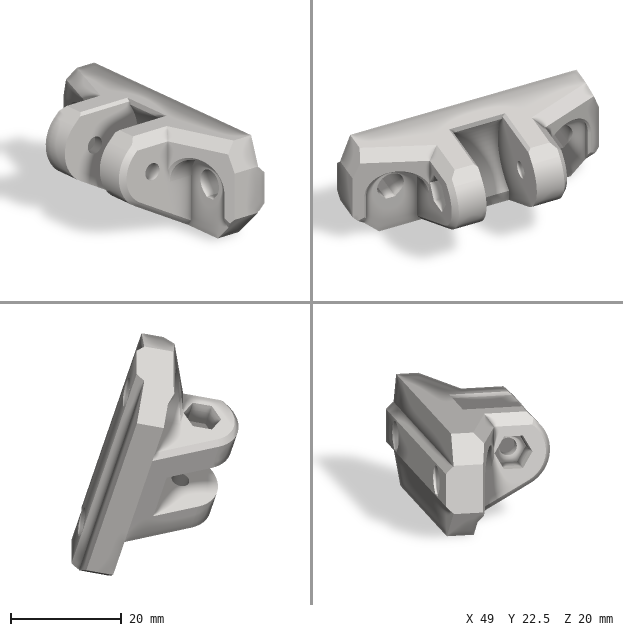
import cadquery as cq
import math


width = 49.0
height = 20.0
depth = 22.5
half_width = width / 2
reach = 2 * width

end_thickness = 5.5
top_corner_run = 2.0
top_corner_drop = 5.5
bottom_corner = 5.5
top_chamfer = 2.0
rail_bevel = 1.22
rail_wall = 0.2
rail_inset = 0.25
rail_depth = rail_bevel + rail_wall
end_bottom = bottom_corner
end_top = height - top_corner_drop

knuckle_radius = 7.0
knuckle_half_span = 11.45
knuckle_chamfer = 1.0
front_slope = math.radians(45)
pivot_y = rail_depth + knuckle_radius - depth
pivot_z = height - knuckle_radius
pin_diameter = 3.3
nut_across_flats = 5.85
nut_mouth_across_flats = 6.1
nut_mouth_depth = 1.6
nut_depth = 4.5

slot_half_width = 5.0
slot_radius = 10.0
slot_lip_drop = 1.1
slot_bevel_width = 0.6
slot_bevel_drop = 0.55
slot_front_y = -9.0

wing_root_y = -10.5
wing_overlap = 1.45
seat_floor_y = -5.0
seat_radius = 5.3
mouth_margin = 0.05
seat_chamfer = 0.5
screw_diameter = 5.3
screw_flat_drop = 2.85
screw_x = knuckle_half_span + seat_radius
screw_z = (end_bottom + end_top) / 2
foot_z = 3.1
foot_angle = math.radians(61)

wing_slope = (end_thickness + wing_root_y) / (half_width - knuckle_half_span)

pivot_reach = seat_floor_y - pivot_y
pivot_distance = math.hypot(pivot_z, pivot_reach)
under_angle = math.atan2(pivot_z, pivot_reach) - math.asin(knuckle_radius / pivot_distance)


def wing_front_y(x):
    """Y of the slanted wing face at a distance x from the middle of the part."""
    return wing_root_y - wing_slope * (x - knuckle_half_span)


def on_knuckle(angle):
    """Point (y, z) on the knuckle circle, at an angle above the -Y direction."""
    return (pivot_y - knuckle_radius * math.cos(angle), pivot_z + knuckle_radius * math.sin(angle))


def prism_x(outline, half_length):
    """Extrude a closed outline of (y, z) points along X, equally to both sides."""
    return cq.Workplane("YZ").polyline(outline).close().extrude(half_length, both=True)


def make_envelope():
    """Front outline with its cut corners, limited in plan and chamfered along the top front edges."""
    outline = [
        (half_width, end_bottom),
        (half_width, end_top),
        (half_width - top_corner_run, height),
        (-half_width + top_corner_run, height),
        (-half_width, end_top),
        (-half_width, end_bottom),
        (-half_width + bottom_corner, 0),
        (half_width - bottom_corner, 0),
    ]
    front_shape = cq.Workplane("XZ").polyline(outline).close().extrude(reach, both=True)

    half_plan = [
        (knuckle_half_span, -reach),
        (knuckle_half_span, wing_root_y),
        (width, wing_front_y(width)),
        (width, reach),
    ]
    mirrored = [(-x, y) for x, y in reversed(half_plan)]
    plan_shape = cq.Workplane("XY").polyline(half_plan + mirrored).close().extrude(height)
    plan_shape = plan_shape.faces(">Z").edges().chamfer(top_chamfer)
    return front_shape.intersect(plan_shape)


def make_wing():
    """The +X wing with its screw seat and sloped foot."""
    inner_x = knuckle_half_span - wing_overlap
    wing = (
        cq.Workplane("XY")
        .moveTo(inner_x, 0)
        .lineTo(inner_x, wing_front_y(inner_x))
        .lineTo(half_width, -end_thickness)
        .lineTo(half_width, 0)
        .close()
        .extrude(height)
    )
    seat = (
        cq.Workplane("XZ", origin=(screw_x, seat_floor_y, screw_z))
        .moveTo(-seat_radius, -screw_z)
        .lineTo(-seat_radius, 0)
        .threePointArc((0, seat_radius), (seat_radius, 0))
        .lineTo(seat_radius, -screw_z)
        .close()
        .extrude(reach)
    )
    wing = wing.cut(seat)
    mouth_box = cq.selectors.BoxSelector(
        (screw_x - seat_radius - mouth_margin, seat_floor_y - mouth_margin, mouth_margin),
        (screw_x + seat_radius + mouth_margin, -reach, screw_z + seat_radius + mouth_margin),
    )
    wing = wing.edges(mouth_box).edges("not |Y").chamfer(seat_chamfer)

    rise = reach * math.sin(foot_angle)
    run = reach * math.cos(foot_angle)
    foot_cut = [
        (seat_floor_y, foot_z),
        (seat_floor_y - run, foot_z + rise),
        (seat_floor_y - run, -height),
        (seat_floor_y, -height),
    ]
    wing = wing.cut(prism_x(foot_cut, reach / 2).translate((screw_x + reach / 2, 0, 0)))

    inner_cut = cq.Workplane("XY").box(reach, reach, reach, centered=False)
    return wing.cut(inner_cut.translate((screw_x - reach, seat_floor_y - reach, screw_z - reach)))


def make_knuckle_block():
    """Both knuckles as one block: straight upper slope, round nose and sloped underside."""
    slope_start = on_knuckle(front_slope)
    nose = on_knuckle(0)
    under_start = on_knuckle(under_angle - math.radians(90))
    slope_end = (0, slope_start[1] - slope_start[0] * math.tan(front_slope))
    under_end = (0, seat_floor_y * math.tan(under_angle))
    block = (
        cq.Workplane("YZ")
        .moveTo(*slope_end)
        .lineTo(*slope_start)
        .threePointArc(nose, under_start)
        .lineTo(*under_end)
        .close()
        .extrude(knuckle_half_span, both=True)
    )
    return block.faces("|X").edges("not |Z").chamfer(knuckle_chamfer)


def make_slot():
    """Round clearance about the pivot, open to the front, with bevelled lips at the top."""
    lip_z = height - slot_lip_drop
    slot_rear_y = pivot_y + math.sqrt(slot_radius**2 - (lip_z - pivot_z) ** 2)
    clearance = (
        cq.Workplane("YZ")
        .center(pivot_y, pivot_z)
        .circle(slot_radius)
        .extrude(slot_half_width, both=True)
    )
    below_lip = cq.Workplane("XY").box(reach, reach, reach).translate((0, 0, lip_z - reach / 2))
    clearance = clearance.intersect(below_lip)
    front_opening = (
        cq.Workplane("XY")
        .box(2 * slot_half_width, reach, reach)
        .translate((0, slot_front_y - reach / 2, 0))
    )
    lip_side = [
        (slot_half_width, lip_z),
        (slot_half_width, height - slot_bevel_drop),
        (slot_half_width + slot_bevel_width, height),
    ]
    mirrored = [(-x, z) for x, z in reversed(lip_side)]
    lip_plane = cq.Workplane("XZ", origin=(0, slot_rear_y, 0))
    lips = lip_plane.polyline(lip_side + mirrored).close().extrude(reach)
    return clearance.union(front_opening).union(lips)


def make_rail():
    """Full-width rail on the back of the plate, bevelled at 45 degrees above and below."""
    bottom = end_bottom + rail_inset
    top = end_top - rail_inset
    outline = [
        (0, bottom),
        (rail_wall, bottom),
        (rail_depth, bottom + rail_bevel),
        (rail_depth, top - rail_bevel),
        (rail_wall, top),
        (0, top),
    ]
    return prism_x(outline, half_width)


def make_screw_hole():
    """Round hole along Y whose lower side runs at 45 degrees into a small flat."""
    radius = screw_diameter / 2
    tangent = radius * math.sqrt(0.5)
    flat_half_width = radius * math.sqrt(2) - screw_flat_drop
    plane = cq.Workplane("XZ", origin=(screw_x, 0, screw_z))
    relief = (
        plane.moveTo(-tangent, -tangent)
        .lineTo(-flat_half_width, -screw_flat_drop)
        .lineTo(flat_half_width, -screw_flat_drop)
        .lineTo(tangent, -tangent)
        .close()
        .extrude(reach, both=True)
    )
    return plane.circle(radius).extrude(reach, both=True).union(relief)


def across_corners(across_flats):
    """Corner-to-corner size of a hexagon."""
    return across_flats / math.cos(math.radians(30))


def make_pin_hole():
    """Through hole for the pivot pin, with a nut pocket of flared mouth in the -X knuckle."""
    hole = cq.Workplane("YZ").center(pivot_y, pivot_z).circle(pin_diameter / 2).extrude(reach, both=True)
    nut_face = cq.Workplane("YZ", origin=(-knuckle_half_span, pivot_y, pivot_z))
    nut = nut_face.polygon(6, across_corners(nut_across_flats)).extrude(nut_depth)
    mouth = (
        nut_face.polygon(6, across_corners(nut_mouth_across_flats))
        .workplane(offset=nut_mouth_depth)
        .polygon(6, across_corners(nut_across_flats))
        .loft(ruled=True)
    )
    return hole.union(nut).union(mouth)


wing = make_wing()
screw_hole = make_screw_hole()
body = make_knuckle_block().union(wing).union(wing.mirror("YZ"))
body = body.intersect(make_envelope()).union(make_rail())
body = body.cut(make_slot()).cut(make_pin_hole())
result = body.cut(screw_hole).cut(screw_hole.mirror("YZ"))